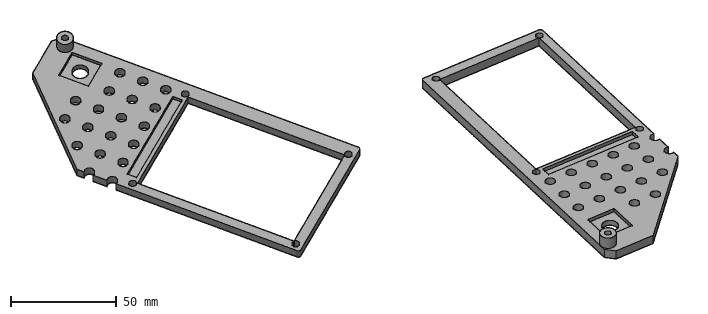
import cadquery as cq

plate_length = 160.0
plate_width = 68.5
plate_thickness = 5.0
total_height = 11.2
small_chamfer = 4.0
large_chamfer = 43.4
corner_radius = 1.3

post_x = 7.0
post_diameter = 8.0
post_y = plate_width - post_diameter / 2
post_bore_diameter = 3.2

recess_x = 19.5
recess_y = plate_width - 13.6
recess_length = 15.5
recess_width = 15.0
recess_hole_diameter = 8.0

channel_x = 68.6
channel_y = 33.1
channel_length = 5.0
channel_width = 51.2

recess_depth = 2.0

window_left = 73.0
window_bottom = 4.6
window_length = 82.0
window_width = 56.8
screw_left = 70.9
screw_bottom = 3.5
screw_spacing_x = 85.5
screw_spacing_y = 59.0
screw_diameter = 3.7

grid_pitch = 12.0
grid_x = 25.5
grid_y = 1.0
grid_diameter = 5.0
grid_rows = [(2, 3), (1, 2, 3, 4, 5), (0, 1, 2, 3, 4, 5), (0, 1, 2, 3, 4, 5)]


def make_plate():
    """Plate with two angled corners on the left and two rounded ones on the right."""
    outline = [
        (large_chamfer, 0),
        (plate_length, 0),
        (plate_length, plate_width),
        (small_chamfer, plate_width),
        (0, plate_width - small_chamfer),
        (0, large_chamfer),
    ]
    plate = cq.Workplane("XY").polyline(outline).close().extrude(plate_thickness)
    return plate.edges("|Z and >X").fillet(corner_radius)


def box_cutter(center_x, center_y, length, width, depth):
    """Rectangular block reaching down from the top face of the plate."""
    top = cq.Workplane("XY", origin=(center_x, center_y, plate_thickness))
    return top.rect(length, width).extrude(-depth)


def hole_cutter(points, diameter):
    """Round pins through the full height of the part."""
    return cq.Workplane("XY").pushPoints(points).circle(diameter / 2).extrude(total_height)


post = cq.Workplane("XY").center(post_x, post_y).circle(post_diameter / 2).extrude(total_height)

recess = box_cutter(recess_x, recess_y, recess_length, recess_width, recess_depth)
channel = box_cutter(channel_x, channel_y, channel_length, channel_width, recess_depth)
window = box_cutter(
    window_left + window_length / 2,
    window_bottom + window_width / 2,
    window_length,
    window_width,
    plate_thickness,
)

screw_points = [
    (screw_left + column * screw_spacing_x, screw_bottom + row * screw_spacing_y)
    for column in range(2)
    for row in range(2)
]
grid_points = [
    (grid_x + column * grid_pitch, grid_y + row * grid_pitch)
    for column, rows in enumerate(grid_rows)
    for row in rows
]

result = make_plate().union(post)
result = result.cut(recess).cut(channel).cut(window)
result = result.cut(hole_cutter([(post_x, post_y)], post_bore_diameter))
result = result.cut(hole_cutter([(recess_x, recess_y)], recess_hole_diameter))
result = result.cut(hole_cutter(screw_points, screw_diameter))
result = result.cut(hole_cutter(grid_points, grid_diameter))